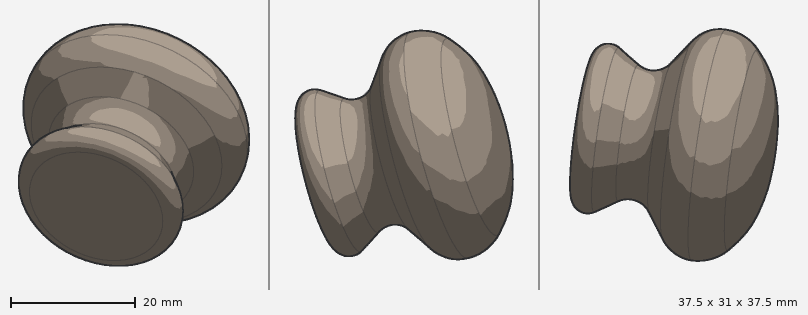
import cadquery as cq
import math

total_length = 31.0
head_radius = 18.75
head_position = 20.55
head_rear_arc = 6.0
head_front_arc = 7.35
head_front_angle = math.radians(48)
crown_points = [(12.52, 28.75), (7.6, 30.45)]

base_radius = 13.75
base_arc = 2.5
base_cone_angle = math.radians(32)
head_cone_angle = math.radians(56)

neck_radius = 10.5
neck_arc = 3.98
neck_position = 9.5


def arc_point(center, radius, angle):
    """Point on a profile arc; the angle is measured from the outward radial direction toward +Y."""
    return (center[0] + radius * math.cos(angle), center[1] + radius * math.sin(angle))


foot_center = (base_radius - base_arc, base_arc)
neck_center = (neck_radius + neck_arc, neck_position)
head_rear_center = (head_radius - head_rear_arc, head_position)
head_front_center = (head_radius - head_front_arc, head_position)

foot_end = arc_point(foot_center, base_arc, base_cone_angle)
neck_start = arc_point(neck_center, neck_arc, math.pi + base_cone_angle)
neck_end = arc_point(neck_center, neck_arc, math.pi - head_cone_angle)
head_start = arc_point(head_rear_center, head_rear_arc, -head_cone_angle)
head_front_end = arc_point(head_front_center, head_front_arc, head_front_angle)

crown_start_direction = (-math.sin(head_front_angle), math.cos(head_front_angle))
crown_end_direction = (-1, 0)

profile = (
    cq.Workplane("XY")
    .lineTo(foot_center[0], 0)
    .threePointArc((base_radius, base_arc), foot_end)
    .lineTo(*neck_start)
    .threePointArc((neck_radius, neck_position), neck_end)
    .lineTo(*head_start)
    .threePointArc(
        arc_point(head_rear_center, head_rear_arc, -head_cone_angle / 2),
        (head_radius, head_position),
    )
    .threePointArc(
        arc_point(head_front_center, head_front_arc, head_front_angle / 2),
        head_front_end,
    )
    .spline(
        crown_points + [(0, total_length)],
        tangents=[crown_start_direction, crown_end_direction],
        includeCurrent=True,
    )
    .close()
)

result = profile.revolve(360, (0, 0, 0), (0, 1, 0))